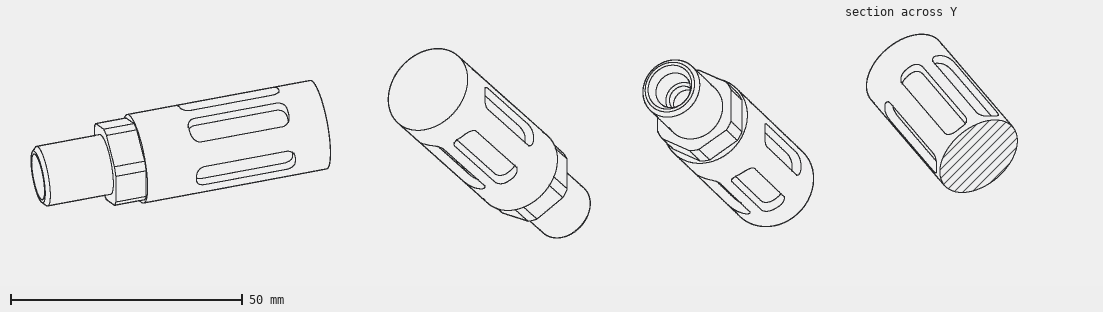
import cadquery as cq

total_length = 63.0
body_diameter = 19.5
body_length = 41.15

hex_across_flats = 17.0
hex_corner_diameter = 18.5
hex_length = 6.8

stem_diameter = 13.15
stem_chamfer = 0.9

slot_width = 5.15
slot_length = 22.2
slot_corner_radius = 1.95
slot_back_gap = 7.95
slot_offset = 4.0
slot_floor_diameter = 15.5

mouth_diameter = 10.1
throat_diameter = 7.95
throat_end_diameter = 7.5
taper_depth = 2.0
pilot_diameter = 5.8
throat_length = 5.55
pilot_depth = 10.1

front_y = -total_length / 2
back_y = total_length / 2
body_front_y = back_y - body_length
hex_front_y = body_front_y - hex_length
slot_center_y = back_y - slot_back_gap - slot_length / 2


def cylinder(diameter, start_y, length):
    """Cylinder on the part axis, growing toward +Y from start_y."""
    base = cq.Vector(0, start_y, 0)
    return cq.Workplane(cq.Solid.makeCylinder(diameter / 2, length, base, cq.Vector(0, 1, 0)))


def hexagon():
    """Hexagon with flats on +X and -X and its corners turned to a circle."""
    prism = (
        cq.Workplane("XZ", origin=(0, body_front_y, 0))
        .polygon(6, hex_across_flats, circumscribed=True)
        .extrude(hex_length)
    )
    return prism.intersect(cylinder(hex_corner_diameter, hex_front_y, hex_length))


def slot_prism(offset):
    """Rounded slot cut straight through along Z at the given X offset."""
    return (
        cq.Workplane("XY")
        .center(offset, slot_center_y)
        .rect(slot_width, slot_length)
        .extrude(body_diameter / 2, both=True)
        .edges("|Z")
        .fillet(slot_corner_radius)
    )


def side_slot_prism():
    """Rounded slot cut straight through along X on the axis."""
    return slot_prism(0).rotate((0, 0, 0), (0, 1, 0), 90)


def slotted_body():
    """Round body whose slots stop on a smaller coaxial cylinder."""
    body = cylinder(body_diameter, body_front_y, body_length)
    for slot in (slot_prism(-slot_offset), slot_prism(slot_offset), side_slot_prism()):
        body = body.cut(slot)
    return body.union(cylinder(slot_floor_diameter, body_front_y, body_length))


def stem():
    """Round stem with a chamfered front edge."""
    blank = cylinder(stem_diameter, front_y, hex_front_y - front_y)
    return blank.faces("<Y").chamfer(stem_chamfer)


def cone(start_diameter, end_diameter, start_y, length):
    """Cone on the part axis, going toward +Y from start_y."""
    base = cq.Vector(0, start_y, 0)
    direction = cq.Vector(0, 1, 0)
    return cq.Workplane(cq.Solid.makeCone(start_diameter / 2, end_diameter / 2, length, base, direction))


def bore():
    """Tapered mouth leading to a slightly drafted throat and a smaller blind pilot hole."""
    mouth = cone(mouth_diameter, throat_diameter, front_y, taper_depth)
    throat = cone(throat_diameter, throat_end_diameter, front_y + taper_depth, throat_length)
    pilot = cylinder(pilot_diameter, front_y, pilot_depth)
    return pilot.union(mouth).union(throat)



result = slotted_body().union(hexagon()).union(stem()).cut(bore())